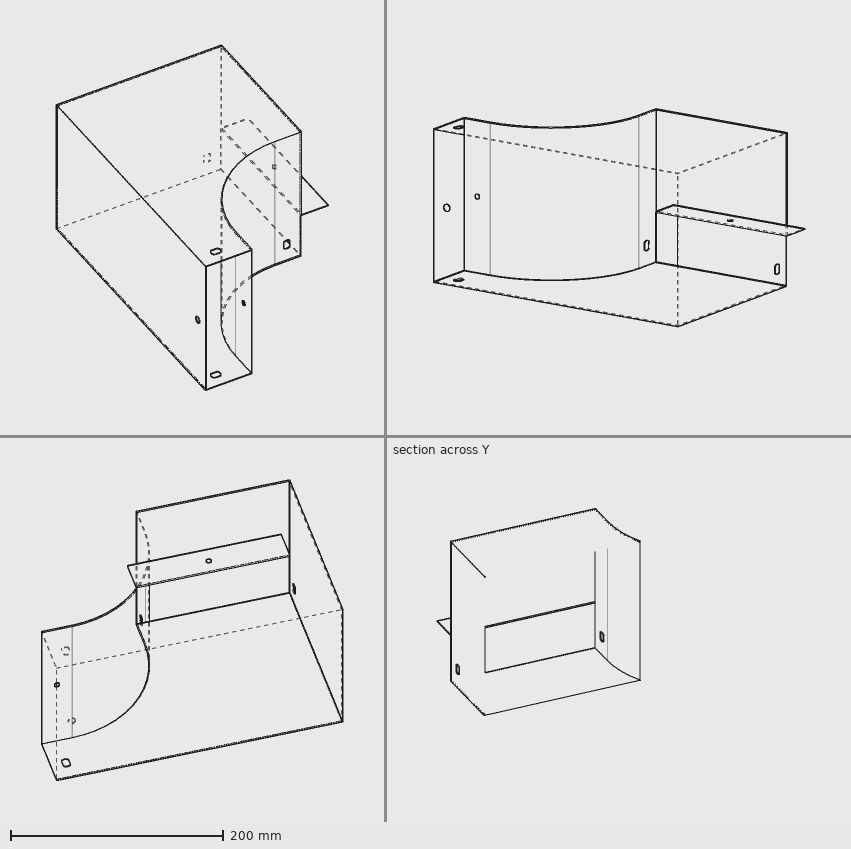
import cadquery as cq

sheet = 1.0
height = 150.0
wide_mouth = 151.0
narrow_mouth = 51.0
elbow_radius = 100.0
collar = 30.0
length_x = wide_mouth + elbow_radius + collar
length_y = 179.0
tab_reach = 29.0
tab_level = 49.0
hole_inset = 15.0
slot_offset = 20.0
slot_width = 7.0
slot_length = 10.0
front_hole_diameter = 7.0
small_hole_diameter = 5.0


def elbow_prism(inset, bottom, top):
    """Elbow outline, moved inward from its walls but not from its open ends, between two heights."""
    right = wide_mouth - inset
    back = narrow_mouth - inset
    radius = elbow_radius + inset
    return (
        cq.Workplane("XY", origin=(0, 0, bottom))
        .moveTo(inset, inset)
        .lineTo(length_x, inset)
        .lineTo(length_x, back)
        .lineTo(wide_mouth + elbow_radius, back)
        .radiusArc((right, narrow_mouth + elbow_radius), radius)
        .lineTo(right, length_y)
        .lineTo(inset, length_y)
        .close()
        .extrude(top - bottom)
    )


def duct():
    """Curved duct of thin sheet, open at the +X and +Y mouths."""
    return elbow_prism(0, 0, height).cut(elbow_prism(sheet, sheet, height - sheet))


def closing_plate():
    """Plate across the upper part of the +Y mouth, bent outward into a level tab."""
    plate = cq.Workplane("XY").box(wide_mouth, sheet, height - tab_level, centered=False)
    tab = cq.Workplane("XY").box(wide_mouth, sheet + tab_reach, sheet, centered=False)
    return plate.union(tab).translate((0, length_y, tab_level))


def slot_cutter(plane, centre, depth):
    """Slot along the plane's local Y: a disc trimmed to two parallel straight sides."""
    base = cq.Workplane(plane, origin=centre)
    disc = base.circle(slot_length / 2).extrude(depth)
    band = base.rect(slot_width, slot_length).extrude(depth)
    return disc.intersect(band)


def tab_hole():
    centre = (wide_mouth / 2, length_y + sheet + tab_reach - hole_inset, tab_level)
    return cq.Workplane("XY", origin=centre).circle(small_hole_diameter / 2).extrude(sheet)


def floor_and_roof_slots():
    centre = (length_x - hole_inset, slot_offset, 0)
    return slot_cutter("XY", centre, height)


def side_slots():
    centre = (0, length_y - hole_inset, slot_offset)
    return slot_cutter("YZ", centre, wide_mouth)


def narrow_mouth_holes():
    """Clearance hole in the front wall with a smaller hole behind it in the inner wall."""
    plane = cq.Workplane("XZ", origin=(length_x - hole_inset, 0, height / 2))
    front = plane.circle(front_hole_diameter / 2).extrude(-sheet)
    through = plane.circle(small_hole_diameter / 2).extrude(-narrow_mouth)
    return front.union(through)


result = duct().union(closing_plate())
for opening in (tab_hole(), floor_and_roof_slots(), side_slots(), narrow_mouth_holes()):
    result = result.cut(opening)